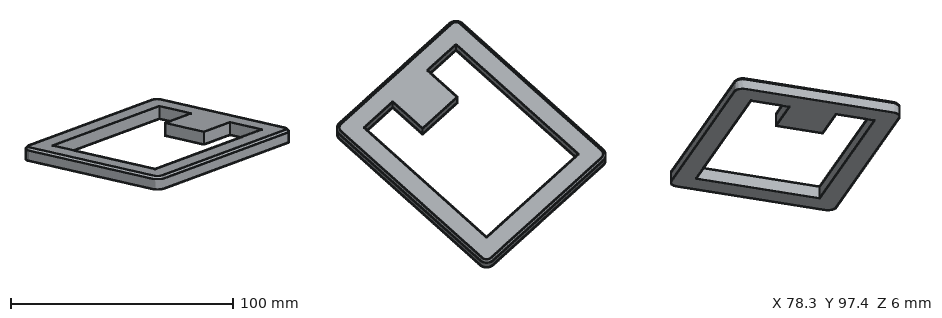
import cadquery as cq

width = 78.3
length = 97.4
thickness = 6.0
corner_radius = 4.0
top_chamfer = 1.2

border = 9.8
window_width = width - 2 * border
window_length = length - 2 * border

tab_width = 22.2
tab_reach = 19.0


def make_plate():
    """Solid plate with rounded corners and a chamfered top rim, base on Z = 0."""
    plate = cq.Workplane("XY").rect(width, length).extrude(thickness)
    plate = plate.edges("|Z").fillet(corner_radius)
    return plate.faces(">Z").chamfer(top_chamfer)


def make_window():
    """Through-cut of the window, with the tab's footprint left standing."""
    tab_center_y = (window_length - tab_reach) / 2
    opening = cq.Workplane("XY").rect(window_width, window_length).extrude(thickness)
    tab = cq.Workplane("XY").center(0, tab_center_y).rect(tab_width, tab_reach).extrude(thickness)
    return opening.cut(tab)


result = make_plate().cut(make_window())